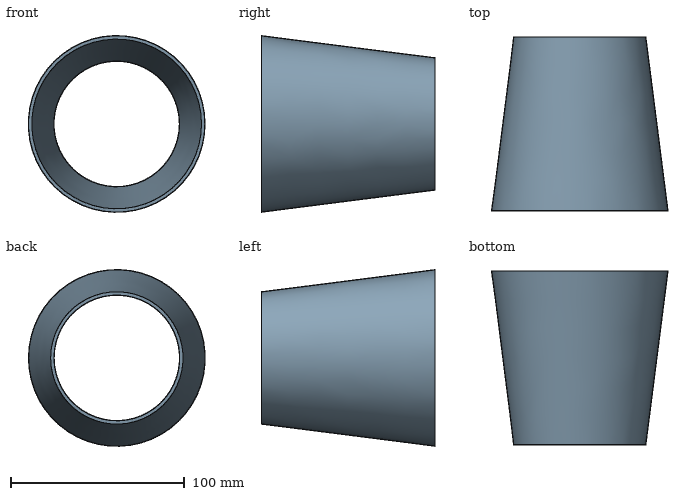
import cadquery as cq

length = 100.0
wide_diameter = 101.6
narrow_diameter = 76.1
wall = 2.0

wide_radius = wide_diameter / 2
narrow_radius = narrow_diameter / 2
front_y = -length / 2
back_y = length / 2

wall_section = (
    cq.Workplane("XY")
    .moveTo(wide_radius - wall, front_y)
    .lineTo(wide_radius, front_y)
    .lineTo(narrow_radius, back_y)
    .lineTo(narrow_radius - wall, back_y)
    .close()
)

result = wall_section.revolve(360, (0, 0, 0), (0, 1, 0))